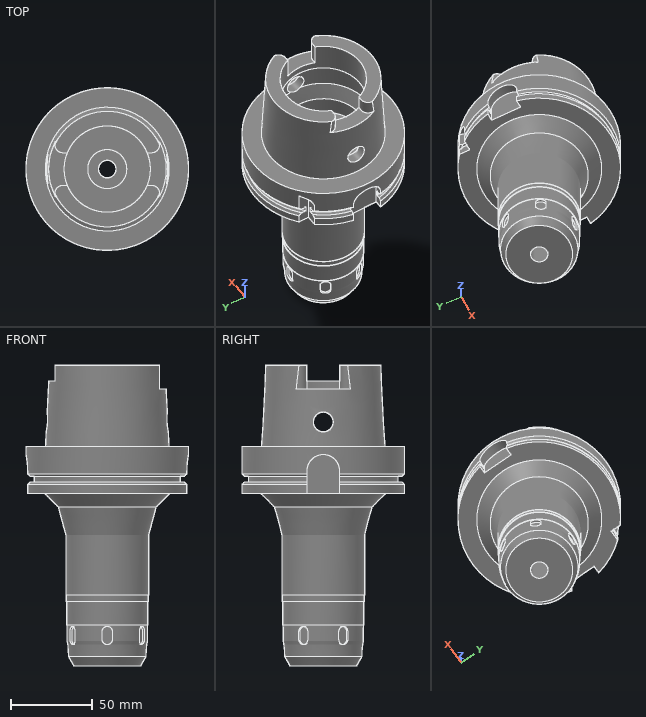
import cadquery as cq
import math


shank_top_z = 50.0
shank_top_radius = 35.5
shank_base_radius = 38.05
bore_radius = 26.5
bore_lip_z = 30.0
undercut_radius = 31.5
undercut_bottom_z = 10.0
shoulder_angle = 60.0
bore_floor_z = -11.0
tube_recess_radius = 12.0
tube_recess_depth = 15.0
through_hole_radius = 5.3
cross_hole_radius = 6.0
cross_hole_z = 15.0

rim_slot_half_width = 10.0
rim_slot_corner_radius = 5.0
rim_slot_shoulder_x = 32.2
rim_slot_depth_left = 9.7
rim_slot_depth_right = 14.7

flange_radius = 50.0
flange_bottom_z = -29.0
groove_center_z = -20.1
groove_floor_radius = 46.0
groove_half_width = 1.7
groove_chamfer = 1.6

side_slot_radius = 10.0
side_slot_top_z = -5.0
side_slot_floor_x = 44.0
notch_corner = 31.7
notch_radius = 8.0

neck_top_radius = 38.4
neck_break_z = -37.3
neck_break_radius = neck_top_radius - (flange_bottom_z - neck_break_z)
body_radius = 25.5
neck_half_angle = 15.0
neck_bottom_z = neck_break_z - (neck_break_radius - body_radius) / math.tan(math.radians(neck_half_angle))
collar_top_z = -91.2
collar_bottom_z = -95.4
collar_radius = 25.3

nut_radius = 25.0
nut_band_top_z = -109.6
nut_band_radius = 24.8
nut_band_bottom_z = -119.8
nut_nose_top_z = -121.8
nut_nose_top_radius = 24.3
nut_nose_bottom_z = -129.2
nut_nose_bottom_radius = 23.8
bottom_z = -135.0
bottom_radius = 20.5
wrench_slot_count = 6
wrench_slot_width = 6.5
wrench_slot_top_z = -110.6
wrench_slot_length = 11.1
wrench_slot_floor_radius = 23.2


def turned_body():
    """Outer shape of the holder, turned about Z."""
    chamfer_foot_radius = flange_radius - groove_chamfer
    groove_top_z = groove_center_z + groove_half_width
    groove_bottom_z = groove_center_z - groove_half_width
    outline = [
        (0, shank_top_z),
        (shank_top_radius, shank_top_z),
        (shank_base_radius, 0),
        (flange_radius, 0),
        (flange_radius, groove_top_z + groove_chamfer),
        (chamfer_foot_radius, groove_top_z),
        (groove_floor_radius, groove_top_z),
        (groove_floor_radius, groove_bottom_z),
        (chamfer_foot_radius, groove_bottom_z),
        (flange_radius, groove_bottom_z - groove_chamfer),
        (flange_radius, flange_bottom_z),
        (neck_top_radius, flange_bottom_z),
        (neck_break_radius, neck_break_z),
        (body_radius, neck_bottom_z),
        (body_radius, collar_top_z),
        (collar_radius, collar_top_z),
        (collar_radius, collar_bottom_z),
        (nut_radius, collar_bottom_z),
        (nut_radius, nut_band_top_z),
        (nut_band_radius, nut_band_top_z),
        (nut_band_radius, nut_band_bottom_z),
        (nut_nose_top_radius, nut_nose_top_z),
        (nut_nose_bottom_radius, nut_nose_bottom_z),
        (bottom_radius, bottom_z),
        (0, bottom_z),
    ]
    return cq.Workplane("XZ").polyline(outline).close().revolve(360, (0, 0), (0, 1))


def stepped_bore():
    """Shank bore with undercut and conical shoulder, coolant tube recess and through hole."""
    shoulder_drop = (undercut_radius - bore_radius) * math.tan(math.radians(shoulder_angle))
    shoulder_bottom_z = undercut_bottom_z - shoulder_drop
    recess_floor_z = bore_floor_z - tube_recess_depth
    outline = [
        (0, shank_top_z),
        (bore_radius, shank_top_z),
        (bore_radius, bore_lip_z),
        (undercut_radius, bore_lip_z),
        (undercut_radius, undercut_bottom_z),
        (bore_radius, shoulder_bottom_z),
        (bore_radius, bore_floor_z),
        (tube_recess_radius, bore_floor_z),
        (tube_recess_radius, recess_floor_z),
        (through_hole_radius, recess_floor_z),
        (through_hole_radius, bottom_z),
        (0, bottom_z),
    ]
    return cq.Workplane("XZ").polyline(outline).close().revolve(360, (0, 0), (0, 1))


def cross_hole():
    """Round hole along X through both walls of the shank."""
    return (
        cq.Workplane("YZ")
        .center(0, cross_hole_z)
        .circle(cross_hole_radius)
        .extrude(flange_radius, both=True)
    )


def rim_slot(side, depth):
    """Slot through the rim on the +X (side = 1) or -X (side = -1) wall, flared by rounded corners."""
    corner_start_x = rim_slot_shoulder_x - rim_slot_corner_radius
    corner_end_y = rim_slot_half_width + rim_slot_corner_radius
    corner_bulge = rim_slot_corner_radius * math.sqrt(0.5)
    corner_middle_x = corner_start_x + corner_bulge
    corner_middle_y = corner_end_y - corner_bulge
    half_slot = (
        cq.Workplane("XY")
        .workplane(offset=shank_top_z - depth)
        .lineTo(0, rim_slot_half_width)
        .lineTo(side * corner_start_x, rim_slot_half_width)
        .threePointArc(
            (side * corner_middle_x, corner_middle_y),
            (side * rim_slot_shoulder_x, corner_end_y),
        )
        .lineTo(side * rim_slot_shoulder_x, shank_base_radius)
        .lineTo(side * shank_base_radius, shank_base_radius)
        .lineTo(side * shank_base_radius, 0)
        .close()
        .extrude(depth)
    )
    return half_slot.union(half_slot.mirror("XZ"))


def round_topped_cut(center_y, radius, inner_x, outer_x):
    """Cut along X, open at the flange's lower face and round at its top."""
    center_z = side_slot_top_z - radius
    return (
        cq.Workplane("YZ")
        .workplane(offset=inner_x)
        .moveTo(center_y - radius, flange_bottom_z)
        .lineTo(center_y - radius, center_z)
        .threePointArc((center_y, side_slot_top_z), (center_y + radius, center_z))
        .lineTo(center_y + radius, flange_bottom_z)
        .close()
        .extrude(outer_x - inner_x)
    )


def wrench_slot(index):
    """Flat-floored upright slot in the nut; slot 0 faces -Y."""
    slot_center_z = wrench_slot_top_z - wrench_slot_length / 2
    return (
        cq.Workplane("XZ")
        .workplane(offset=wrench_slot_floor_radius)
        .center(0, slot_center_z)
        .slot2D(wrench_slot_length, wrench_slot_width, 90)
        .extrude(body_radius - wrench_slot_floor_radius)
        .rotate((0, 0, 0), (0, 0, 1), index * 360 / wrench_slot_count)
    )


result = turned_body().cut(stepped_bore()).cut(cross_hole())
result = result.cut(rim_slot(-1, rim_slot_depth_left)).cut(rim_slot(1, rim_slot_depth_right))

for direction in (-1, 1):
    slot_ends = (direction * side_slot_floor_x, direction * flange_radius)
    result = result.cut(round_topped_cut(0, side_slot_radius, *slot_ends))
notch_center_y = notch_corner + notch_radius
result = result.cut(round_topped_cut(notch_center_y, notch_radius, -notch_corner, -flange_radius))

for slot_index in range(wrench_slot_count):
    result = result.cut(wrench_slot(slot_index))